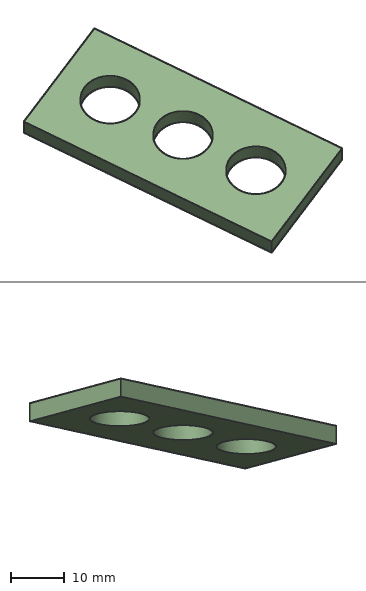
import cadquery as cq

LENGTH = 53.98
WIDTH = 25.4
THICKNESS = 3.5

HOLE_DIAMETER = 11.11
HOLE_COUNT = 3
HOLE_PITCH = 15.875


def make_plate():
    """Flat rectangular plate centred on the origin."""
    return cq.Workplane("XY").box(LENGTH, WIDTH, THICKNESS)


def drill_hole_row(plate):
    """Drill the evenly spaced row of through holes, centred on the plate."""
    return (
        plate.faces(">Z")
        .workplane()
        .rarray(HOLE_PITCH, WIDTH, HOLE_COUNT, 1)
        .hole(HOLE_DIAMETER)
    )


result = drill_hole_row(make_plate())